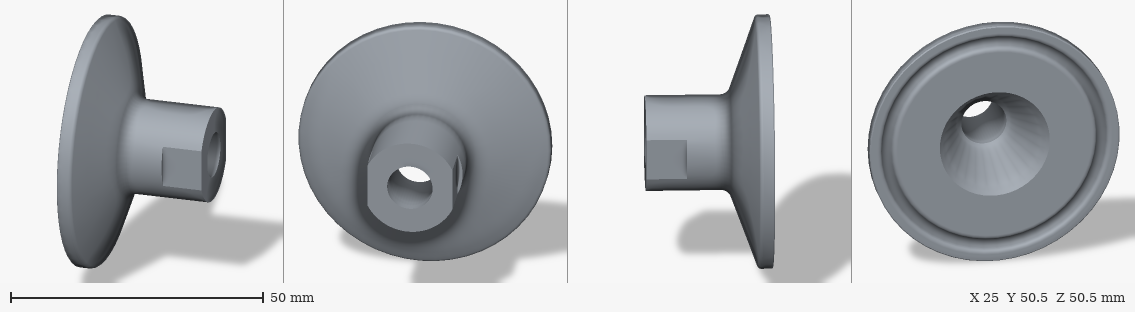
import cadquery as cq
import math

length = 25.0
flange_radius = 25.25
boss_radius = 9.5

face_edge_chamfer = 0.2
rim_end = 2.25
rim_fillet = 0.8
neck_fillet = 2.0
neck_fillet_end = 10.05
cone_angle = math.radians(20)

inlet_radius = 11.1
bore_radius = 4.55
inlet_depth = 11.25

groove_center_radius = 21.7
groove_half_width = 2.0
groove_depth = 1.6
groove_lip_radius = 0.95
groove_floor_radius = 1.05

across_flats = 17.0
flat_length = 8.0


def on_circle(center, radius, angle):
    """Point on a circle, with the angle measured from the radial direction toward +X."""
    x, r = center
    return x + radius * math.sin(angle), r + radius * math.cos(angle)


def revolve_about_x(profile):
    return profile.close().revolve(360, (0, 0, 0), (1, 0, 0))


def make_body():
    rim_center = (rim_end, flange_radius - rim_fillet)
    neck_center = (neck_fillet_end, boss_radius + neck_fillet)
    normal = math.pi / 2 - cone_angle
    return revolve_about_x(
        cq.Workplane("XY")
        .lineTo(0, flange_radius - face_edge_chamfer)
        .lineTo(face_edge_chamfer, flange_radius)
        .lineTo(rim_end, flange_radius)
        .threePointArc(on_circle(rim_center, rim_fillet, normal / 2),
                       on_circle(rim_center, rim_fillet, normal))
        .lineTo(*on_circle(neck_center, -neck_fillet, normal))
        .threePointArc(on_circle(neck_center, -neck_fillet, normal / 2),
                       (neck_fillet_end, boss_radius))
        .lineTo(length, boss_radius)
        .lineTo(length, 0)
    )


def make_bore():
    return revolve_about_x(
        cq.Workplane("XY")
        .lineTo(0, inlet_radius)
        .lineTo(inlet_depth, bore_radius)
        .lineTo(length, bore_radius)
        .lineTo(length, 0)
    )


def make_groove():
    """Round-bottomed groove whose rounded lips meet its floor along short tangent walls."""
    radii = groove_lip_radius + groove_floor_radius
    rise = groove_depth - radii
    span = math.hypot(rise, groove_half_width)
    turn = math.atan2(groove_half_width, -rise) - math.acos(radii / span)

    def lip_point(side, angle):
        r = groove_center_radius + side * (groove_half_width - groove_lip_radius * math.sin(angle))
        return groove_lip_radius * (1 - math.cos(angle)), r

    def floor_point(side, angle):
        r = groove_center_radius + side * groove_floor_radius * math.sin(angle)
        return groove_depth - groove_floor_radius * (1 - math.cos(angle)), r

    return revolve_about_x(
        cq.Workplane("XY")
        .moveTo(*lip_point(-1, 0))
        .threePointArc(lip_point(-1, turn / 2), lip_point(-1, turn))
        .lineTo(*floor_point(-1, turn))
        .threePointArc(floor_point(0, 0), floor_point(1, turn))
        .lineTo(*lip_point(1, turn))
        .threePointArc(lip_point(1, turn / 2), lip_point(1, 0))
    )


def make_flat_cut(side):
    depth = boss_radius - across_flats / 2
    return (
        cq.Workplane("XY")
        .box(flat_length, depth, 2 * boss_radius)
        .translate((length - flat_length / 2, side * (across_flats + depth) / 2, 0))
    )


result = make_body().cut(make_bore()).cut(make_groove())
for flat_side in (-1, 1):
    result = result.cut(make_flat_cut(flat_side))